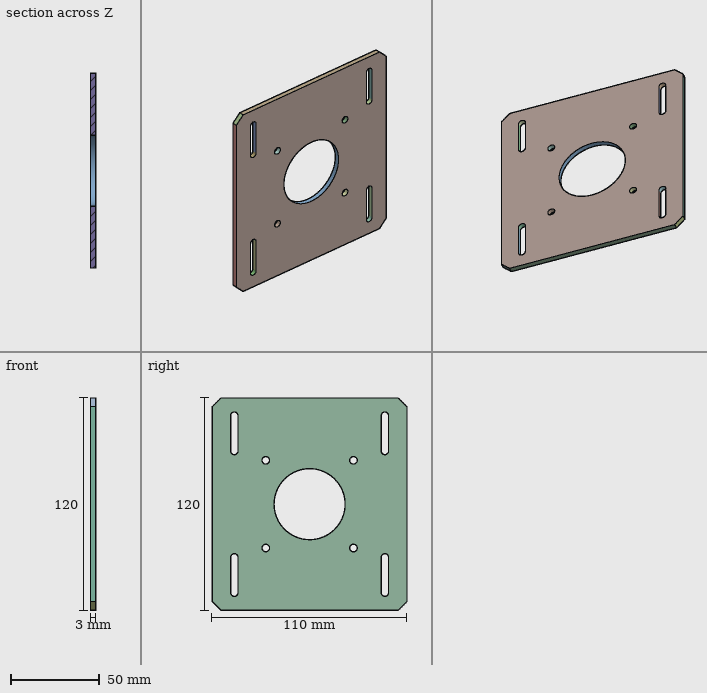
import cadquery as cq

thickness = 3.0
width = 110.0
height = 120.0
corner_chamfer = 5.0

bore_diameter = 40.0

screw_hole_diameter = 4.13
screw_hole_spacing = 49.5

slot_width = 4.0
slot_length = 24.0
slot_spacing_y = 85.0
slot_spacing_z = 80.0
slot_angle = 90.0


def make_plate():
    """Rectangular plate centred on the origin with four clipped corners."""
    return cq.Workplane("XY").box(thickness, width, height).edges("|X").chamfer(corner_chamfer)


def cut_bore(plate):
    return plate.faces("<X").workplane(origin=(0, 0, 0)).circle(bore_diameter / 2).cutThruAll()


def cut_screw_holes(plate):
    return (
        plate.faces("<X")
        .workplane(origin=(0, 0, 0))
        .rarray(screw_hole_spacing, screw_hole_spacing, 2, 2)
        .circle(screw_hole_diameter / 2)
        .cutThruAll()
    )


def cut_slots(plate):
    """Round-ended slots, long axis along Z, length measured end to end."""
    return (
        plate.faces("<X")
        .workplane(origin=(0, 0, 0))
        .rarray(slot_spacing_y, slot_spacing_z, 2, 2)
        .slot2D(slot_length, slot_width, slot_angle)
        .cutThruAll()
    )


result = cut_slots(cut_screw_holes(cut_bore(make_plate())))